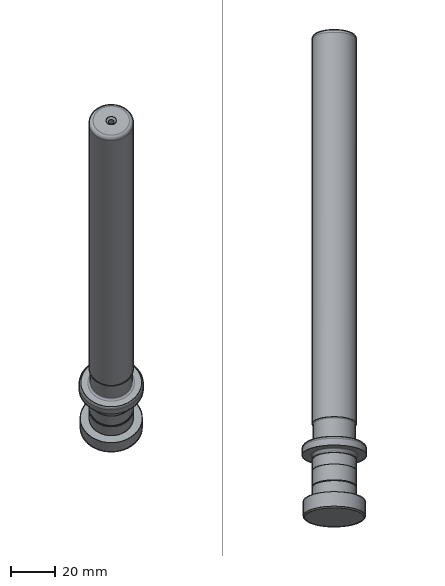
import cadquery as cq
import math

total_length = 229.0
shaft_diameter = 20.0
tip_round = 1.8

flange_diameter = 28.0
flange_height = 7.5
flange_chamfer = 0.6
hub_height = 7.0
hub_chamfer = 0.4
foot_height = flange_height + hub_height

relief_diameter = shaft_diameter - 0.04
relief_bottom = 22.0

neck_diameter = 19.0
neck_bottom = 27.5
neck_top = 44.5
shoulder_fillet = 0.4
collar_fillet = 1.0

collar_diameter = 29.0
collar_bottom = 29.5
collar_height = 4.4
collar_top = collar_bottom + collar_height
collar_chamfer = 0.8
collar_blend = 1.0
chamfer_angle = 45.0

centre_hole_diameter = 2.5
centre_hole_depth = 5.0
countersink_diameter = 4.6
countersink_angle = 100.0


def cylinder(diameter, bottom, top):
    return cq.Workplane("XY").workplane(offset=bottom).circle(diameter / 2).extrude(top - bottom)


def make_foot():
    flange = cylinder(flange_diameter, 0, flange_height).faces("<Z").chamfer(flange_chamfer)
    hub = cylinder(shaft_diameter, flange_height, foot_height).faces(">Z").chamfer(hub_chamfer)
    return flange.union(hub)


def cut_centre_hole(pin):
    hole_radius = centre_hole_diameter / 2
    sink_radius = countersink_diameter / 2
    sink_depth = (sink_radius - hole_radius) / math.tan(math.radians(countersink_angle / 2))
    hole_bottom = total_length - centre_hole_depth
    drill = (
        cq.Workplane("XZ")
        .moveTo(0, total_length)
        .lineTo(sink_radius, total_length)
        .lineTo(hole_radius, total_length - sink_depth)
        .lineTo(hole_radius, hole_bottom)
        .lineTo(0, hole_bottom)
        .close()
        .revolve(360, (0, 0), (0, 1))
    )
    return pin.cut(drill)


def make_pin():
    shaft_radius = shaft_diameter / 2
    relief_radius = relief_diameter / 2
    neck_radius = neck_diameter / 2
    collar_radius = collar_diameter / 2
    blend_reach = collar_blend * math.tan(math.radians(chamfer_angle / 2))
    blend_offset = blend_reach * math.sin(math.radians(chamfer_angle))
    chamfer_bottom = collar_top - collar_chamfer
    pin = (
        cq.Workplane("XZ")
        .moveTo(0, foot_height)
        .lineTo(shaft_radius, foot_height)
        .lineTo(shaft_radius, relief_bottom)
        .lineTo(relief_radius, relief_bottom)
        .lineTo(relief_radius, neck_bottom)
        .lineTo(neck_radius + shoulder_fillet, neck_bottom)
        .radiusArc((neck_radius, neck_bottom + shoulder_fillet), shoulder_fillet)
        .lineTo(neck_radius, collar_bottom - collar_fillet)
        .radiusArc((neck_radius + collar_fillet, collar_bottom), collar_fillet)
        .lineTo(collar_radius, collar_bottom)
        .lineTo(collar_radius, chamfer_bottom - blend_reach)
        .radiusArc((collar_radius - blend_offset, chamfer_bottom + blend_offset), -collar_blend)
        .lineTo(collar_radius - collar_chamfer, collar_top)
        .lineTo(neck_radius + collar_fillet, collar_top)
        .radiusArc((neck_radius, collar_top + collar_fillet), collar_fillet)
        .lineTo(neck_radius, neck_top - shoulder_fillet)
        .radiusArc((neck_radius + shoulder_fillet, neck_top), shoulder_fillet)
        .lineTo(shaft_radius, neck_top)
        .lineTo(shaft_radius, total_length - tip_round)
        .radiusArc((shaft_radius - tip_round, total_length), -tip_round)
        .lineTo(0, total_length)
        .close()
        .revolve(360, (0, 0), (0, 1))
    )
    return cut_centre_hole(pin)


foot = make_foot()
pin = make_pin()
result = cq.Compound.makeCompound([foot.val(), pin.val()])